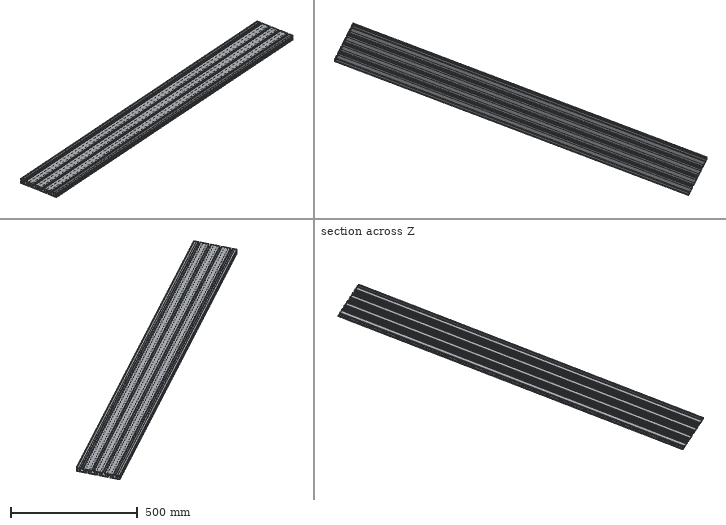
import cadquery as cq

length = 1524
width = 180.0

slot_pitch = width / 4
mouth_width = 8.0
mouth_depth = 5.0
channel_width = 15.0
slot_depth = 14.5
slot_floor = 4.1
height = slot_depth + slot_floor
top_slot_places = [-1.5 * slot_pitch, -0.5 * slot_pitch, 0.5 * slot_pitch, 1.5 * slot_pitch]
bottom_slot_places = [-slot_pitch, 0, slot_pitch]

side_mouth_height = 8.0
side_mouth_depth = 2.3
side_channel_height = 14.0
side_slot_depth = 10.0


def bar(x_min, x_max, z_min, z_max):
    """Full-length rectangular bar between the given X and Z limits."""
    size_x = x_max - x_min
    size_z = z_max - z_min
    return cq.Workplane("XY").box(size_x, length, size_z).translate(
        ((x_min + x_max) / 2, 0, (z_min + z_max) / 2)
    )


def top_slot(x):
    """T-slot opening upward, centred at x."""
    top = height / 2
    mouth = bar(x - mouth_width / 2, x + mouth_width / 2, top - slot_depth, top)
    channel = bar(x - channel_width / 2, x + channel_width / 2, top - slot_depth, top - mouth_depth)
    return mouth.union(channel)


def right_side_slot():
    """T-slot opening toward +X at mid-height."""
    edge = width / 2
    inner = edge - side_slot_depth
    mouth = bar(inner, edge, -side_mouth_height / 2, side_mouth_height / 2)
    channel = bar(inner, edge - side_mouth_depth, -side_channel_height / 2, side_channel_height / 2)
    return mouth.union(channel)


result = cq.Workplane("XY").box(width, length, height)

for place in top_slot_places:
    result = result.cut(top_slot(place))

for place in bottom_slot_places:
    result = result.cut(top_slot(place).mirror("XY"))

result = result.cut(right_side_slot())
result = result.cut(right_side_slot().mirror("YZ"))